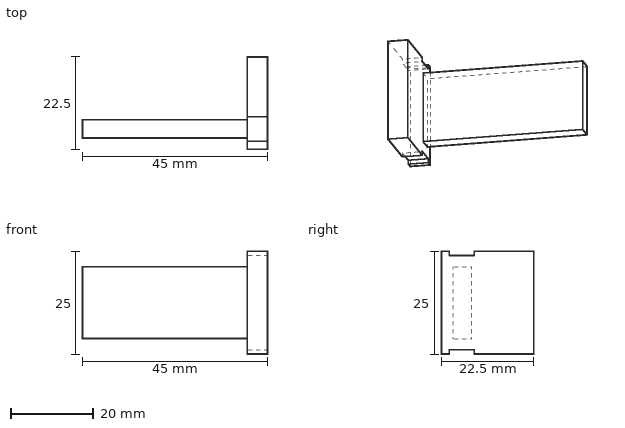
import cadquery as cq

flange_thickness = 5.0
flange_width = 22.5
flange_height = 25.0

blade_length = 40.0
blade_thickness = 4.5
blade_height = 17.5
blade_center_y = 5.0

notch_width = 6.0
notch_depth = 1.0


def make_flange():
    return cq.Workplane("XY").box(
        flange_thickness, flange_width, flange_height, centered=(False, False, True)
    )


def make_blade():
    blade = cq.Workplane("XY").box(
        blade_length, blade_thickness, blade_height, centered=(False, True, True)
    )
    return blade.translate((-blade_length, blade_center_y, 0))


def make_notch(side):
    """Cutter for one edge notch: side is +1 for the top edge, -1 for the bottom."""
    cutter = cq.Workplane("XY").box(
        flange_thickness, notch_width, 2 * notch_depth, centered=(False, True, True)
    )
    return cutter.translate((0, blade_center_y, side * flange_height / 2))


result = make_flange().union(make_blade())
for side in (1, -1):
    result = result.cut(make_notch(side))